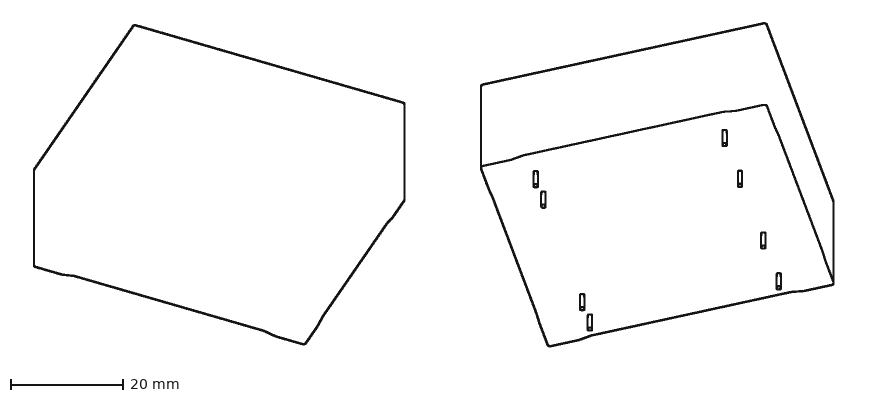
import cadquery as cq

LENGTH = 53.0
WIDTH = 44.0
TOTAL_HEIGHT = 25.7
PIN_PROJECTION = 3.1
HOUSING_HEIGHT = TOTAL_HEIGHT - PIN_PROJECTION
EDGE_RADIUS = 0.5

CHANNEL_DEPTH = 0.5
FOOT_LENGTH = 5.65
FOOT_WIDTH = 5.65
RAMP_RUN = 2.35

PIN_DIAMETER = 0.8
PIN_COLUMN_X = 17.5
OUTER_PIN_Y = 17.5
PIN_PITCH = 5.0
MIDDLE_PIN_Y = OUTER_PIN_Y - PIN_PITCH
INNER_PIN_Y = MIDDLE_PIN_Y - PIN_PITCH


def make_channel(plane, mouth_width, run_length):
    """Trapezoidal channel along the plane normal, widest at the foot level."""
    half_mouth = mouth_width / 2
    half_floor = half_mouth - RAMP_RUN
    return (
        cq.Workplane(plane)
        .polyline([
            (-half_mouth, 0),
            (-half_floor, CHANNEL_DEPTH),
            (half_floor, CHANNEL_DEPTH),
            (half_mouth, 0),
        ])
        .close()
        .extrude(run_length / 2, both=True)
    )


def make_housing():
    """Box with rounded upright and top edges and a foot at each corner."""
    block = cq.Workplane("XY").box(LENGTH, WIDTH, HOUSING_HEIGHT, centered=(True, True, False))
    block = block.edges("|Z or >Z").fillet(EDGE_RADIUS)
    channel_along_y = make_channel("XZ", LENGTH - 2 * FOOT_LENGTH, WIDTH)
    channel_along_x = make_channel("YZ", WIDTH - 2 * FOOT_WIDTH, LENGTH)
    return block.cut(channel_along_y).cut(channel_along_x)


def make_pin(x, y):
    """Round pin hanging from the channel floor."""
    return (
        cq.Workplane("XY", origin=(x, y, -PIN_PROJECTION))
        .circle(PIN_DIAMETER / 2)
        .extrude(PIN_PROJECTION + CHANNEL_DEPTH)
    )


housing = make_housing()

pins = []
for column_x, pair_y in ((-PIN_COLUMN_X, INNER_PIN_Y), (PIN_COLUMN_X, MIDDLE_PIN_Y)):
    for pin_y in (-OUTER_PIN_Y, -pair_y, pair_y, OUTER_PIN_Y):
        pins.append(make_pin(column_x, pin_y))

result = cq.Compound.makeCompound([housing.val(), *[pin.val() for pin in pins]])